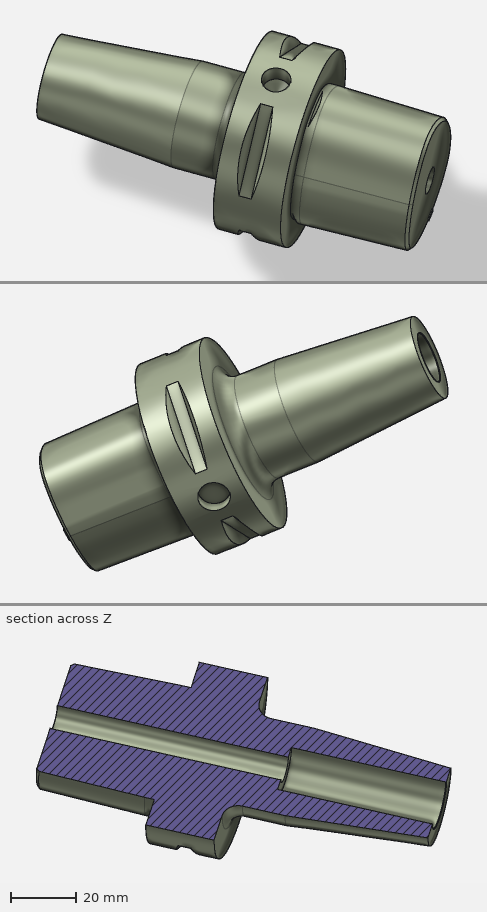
import cadquery as cq
import math

total_length = 123.0
nose_diameter = 27.0
neck_diameter = 34.0
nose_taper_length = 44.5
neck_fillet = 5.0
flange_diameter = 63.0
flange_start = 63.1
flange_width = 21.8
flange_end = flange_start + flange_width

clamp_diameter = 16.0
clamp_depth = 49.2
mouth_diameter = 16.5
mouth_chamfer = (mouth_diameter - clamp_diameter) / 2
coolant_diameter = 8.6

slot_center = 73.0
slot_floor_width = 3.9
slot_rim_width = 7.9
slot_floor_radius = 27.8
slot_angles = (45, 135, 225, 315)
index_diameter = 9.0
index_depth = 6.2
drill_point_angle = 118.0
chip_diameter = 10.0
chip_depth = 4.5

shank_diameter = 44.0
lobe_height = 1.4
taper_ratio = 20.0
taper_start = 87.8
shank_end = 122.6
end_round = 1.0
relief_radius = 22.5
relief_flat = 0.7
relief_end = 86.7

pad_width = 4.0
pad_height = 0.9
pad_center_z = -18.1
pad_overlap = 1.2


def revolve_about_x(profile):
    return profile.close().revolve(360, (0, 0, 0), (1, 0, 0))


def turned_body():
    neck_radius = neck_diameter / 2
    profile = (
        cq.Workplane("XY")
        .lineTo(0, nose_diameter / 2)
        .lineTo(nose_taper_length, neck_radius)
        .lineTo(flange_start - neck_fillet, neck_radius)
        .radiusArc((flange_start, neck_radius + neck_fillet), -neck_fillet)
        .lineTo(flange_start, flange_diameter / 2)
        .lineTo(flange_end, flange_diameter / 2)
        .lineTo(flange_end, 0)
    )
    return revolve_about_x(profile)


def polygon_wire(x, mean_radius):
    """Rounded three-lobed outline with one lobe on +Z and seams on its flats."""

    def outline_point(angle):
        support = mean_radius + lobe_height * math.cos(3 * angle)
        slope = -3 * lobe_height * math.sin(3 * angle)
        z = support * math.cos(angle) - slope * math.sin(angle)
        y = support * math.sin(angle) + slope * math.cos(angle)
        return cq.Vector(x, y, z)

    def tangent(angle):
        return cq.Vector(0, math.cos(angle), -math.sin(angle))

    lobe_span = 2 * math.pi / 3
    steps = 12
    edges = []
    for lobe in range(3):
        start = (lobe - 0.5) * lobe_span
        points = [outline_point(start + lobe_span * i / steps) for i in range(steps + 1)]
        ends = [tangent(start), tangent(start + lobe_span)]
        edges.append(cq.Edge.makeSpline(points, tangents=ends))
    return cq.Wire.assembleEdges(edges)


def shank_section(start, start_radius, end, end_radius):
    wires = [polygon_wire(start, start_radius), polygon_wire(end, end_radius)]
    return cq.Workplane(cq.Solid.makeLoft(wires, True))


def lobe_relief():
    """Ring that trims the three lobe tips beside the flange."""
    outer_radius = shank_diameter / 2 + 2 * lobe_height
    lobe_radius = shank_diameter / 2 + lobe_height
    profile = (
        cq.Workplane("XY")
        .moveTo(flange_end, relief_radius)
        .lineTo(flange_end + relief_flat, relief_radius)
        .lineTo(relief_end, lobe_radius)
        .lineTo(relief_end, outer_radius)
        .lineTo(flange_end, outer_radius)
    )
    return revolve_about_x(profile)


def polygon_shank():
    base_radius = shank_diameter / 2
    round_start = shank_end - end_round
    tip_radius = base_radius - (round_start - taper_start) / (2 * taper_ratio)
    collar = shank_section(flange_end, base_radius, taper_start, base_radius)
    taper = shank_section(taper_start, base_radius, round_start, tip_radius)
    tip = shank_section(round_start, tip_radius, shank_end, tip_radius - end_round)
    return collar.cut(lobe_relief()).union(taper).union(tip)


def end_pad():
    pad_start = shank_end - pad_overlap
    pad_length = total_length - pad_start
    return (
        cq.Workplane("XY")
        .box(pad_length, pad_width, pad_height, centered=(False, True, True))
        .translate((pad_start, 0, pad_center_z))
    )


def gripper_slot(angle):
    """Flat-bottomed slot with flared walls, running across the flange rim."""
    rim_radius = flange_diameter / 2
    floor_half = slot_floor_width / 2
    rim_half = slot_rim_width / 2
    return (
        cq.Workplane("XZ")
        .polyline([
            (slot_center - floor_half, slot_floor_radius),
            (slot_center + floor_half, slot_floor_radius),
            (slot_center + rim_half, rim_radius),
            (slot_center - rim_half, rim_radius),
        ])
        .close()
        .extrude(rim_radius, both=True)
        .rotate((0, 0, 0), (1, 0, 0), angle)
    )


def index_hole():
    """Blind hole from +Z with a conical drill point."""
    radius = index_diameter / 2
    top = flange_diameter / 2
    shoulder = top - index_depth
    point_depth = radius / math.tan(math.radians(drill_point_angle / 2))
    return (
        cq.Workplane("XZ")
        .moveTo(0, top)
        .lineTo(radius, top)
        .lineTo(radius, shoulder)
        .lineTo(0, shoulder - point_depth)
        .close()
        .revolve(360, (0, 0, 0), (0, 1, 0))
        .translate((slot_center, 0, 0))
    )


def chip_pocket():
    """Flat-bottomed data chip hole from -Z, opposite the index hole."""
    return (
        cq.Workplane("XY", origin=(slot_center, 0, -flange_diameter / 2))
        .circle(chip_diameter / 2)
        .extrude(chip_depth)
    )


def center_bore():
    profile = (
        cq.Workplane("XY")
        .lineTo(0, mouth_diameter / 2)
        .lineTo(mouth_chamfer, clamp_diameter / 2)
        .lineTo(clamp_depth, clamp_diameter / 2)
        .lineTo(clamp_depth, coolant_diameter / 2)
        .lineTo(total_length, coolant_diameter / 2)
        .lineTo(total_length, 0)
    )
    return revolve_about_x(profile)


result = turned_body().union(polygon_shank()).union(end_pad())
for slot_angle in slot_angles:
    result = result.cut(gripper_slot(slot_angle))
result = result.cut(index_hole()).cut(chip_pocket()).cut(center_bore())